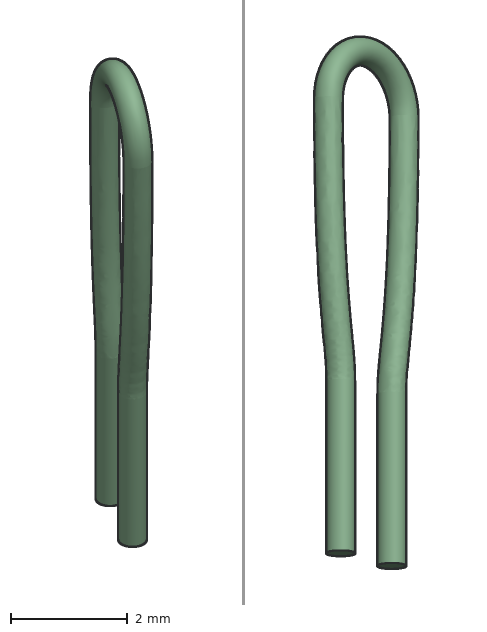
import cadquery as cq

wire_diameter = 0.5
outer_width = 2.5
total_height = 9.15
leg_spacing = 1.35
leg_length = 3.0
lower_pull = 0.8
upper_pull = 3.6

wire_radius = wire_diameter / 2
bend_radius = (outer_width - wire_diameter) / 2
bend_height = total_height - wire_radius - bend_radius
leg_x = leg_spacing / 2


def flare_points(side):
    """Bezier control points of one flared side, from the leg up to the bend.

    Both ends run along Z, so the flare is tangent to the leg and to the bend.
    """
    return [
        (side * leg_x, leg_length),
        (side * leg_x, leg_length + lower_pull),
        (side * bend_radius, bend_height - upper_pull),
        (side * bend_radius, bend_height),
    ]


def wire_axis():
    """Axis of the wire: leg, flared side, half-circle bend and back down."""
    left_flare = flare_points(-1)
    right_flare = flare_points(1)
    return (
        cq.Workplane("XZ")
        .moveTo(-leg_x, 0)
        .lineTo(-leg_x, leg_length)
        .bezier(left_flare)
        .threePointArc((0, bend_height + bend_radius), (bend_radius, bend_height))
        .bezier(right_flare[::-1])
        .lineTo(leg_x, 0)
    )


def wire_section():
    """Round wire section at the foot of the left leg."""
    return cq.Workplane("XY").center(-leg_x, 0).circle(wire_radius)


result = wire_section().sweep(wire_axis())